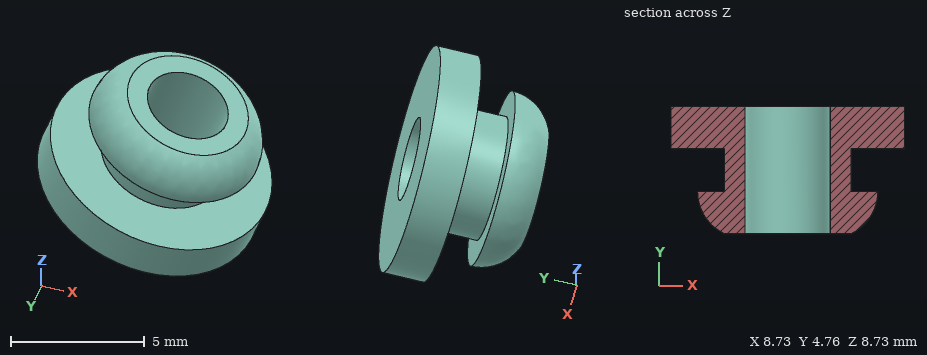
import cadquery as cq
import math

flange_diameter = 8.73
total_length = 4.76
neck_diameter = 4.76
head_diameter = 6.75
bore_diameter = 3.18

section_length = total_length / 3
flange_radius = flange_diameter / 2
neck_radius = neck_diameter / 2
head_radius = head_diameter / 2
bore_radius = bore_diameter / 2

head_front = 0.0
head_back = head_front + section_length
flange_front = head_back + section_length
flange_back = head_front + total_length

head_drop = head_radius - neck_radius
arc_radius = (section_length**2 + head_drop**2) / (2 * head_drop)
half_sweep = math.asin(section_length / arc_radius) / 2
arc_middle = (
    head_radius - arc_radius * (1 - math.cos(half_sweep)),
    head_back - arc_radius * math.sin(half_sweep),
)

half_section = (
    cq.Workplane("XY")
    .moveTo(bore_radius, head_front)
    .lineTo(bore_radius, flange_back)
    .lineTo(flange_radius, flange_back)
    .lineTo(flange_radius, flange_front)
    .lineTo(neck_radius, flange_front)
    .lineTo(neck_radius, head_back)
    .lineTo(head_radius, head_back)
    .threePointArc(arc_middle, (neck_radius, head_front))
    .close()
)
result = half_section.revolve(360, (0, 0, 0), (0, 1, 0))